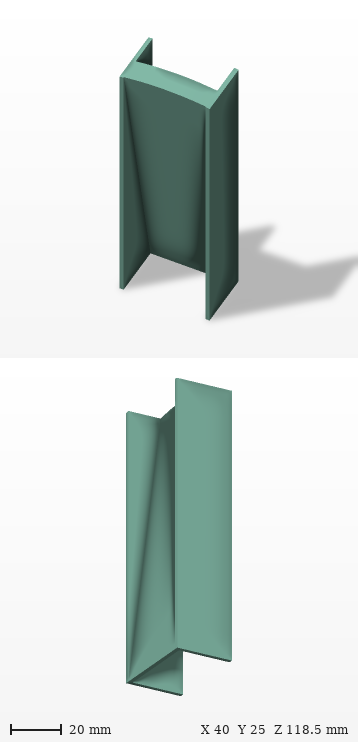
import cadquery as cq

width = 40.0
depth = 25.0
height = 118.5

plate_thickness = 1.9
edge_height = 116.6

web_top_thickness = 10.2
web_bottom_thickness = 1.9

half_width = width / 2
half_depth = depth / 2
inner_width = width - 2 * plate_thickness


def side_plate(left_x):
    """Upright plate whose left face lies at left_x."""
    plate = cq.Workplane("XY").box(plate_thickness, depth, height, centered=False)
    return plate.translate((left_x, -half_depth, 0))


def sloping_web():
    """Wedge between the plates: front at the top, back at the bottom."""
    return (
        cq.Workplane("YZ")
        .moveTo(half_depth - web_bottom_thickness, 0)
        .lineTo(half_depth, 0)
        .lineTo(web_top_thickness - half_depth, height)
        .lineTo(-half_depth, height)
        .close()
        .extrude(inner_width / 2, both=True)
    )


def arched_envelope():
    """Full-depth block with an arched top that trims the web and both plates."""
    return (
        cq.Workplane("XZ")
        .moveTo(-half_width, 0)
        .lineTo(half_width, 0)
        .lineTo(half_width, edge_height)
        .threePointArc((0, height), (-half_width, edge_height))
        .close()
        .extrude(half_depth, both=True)
    )


left_plate = side_plate(-half_width)
right_plate = side_plate(half_width - plate_thickness)
result = sloping_web().union(left_plate).union(right_plate).intersect(arched_envelope())